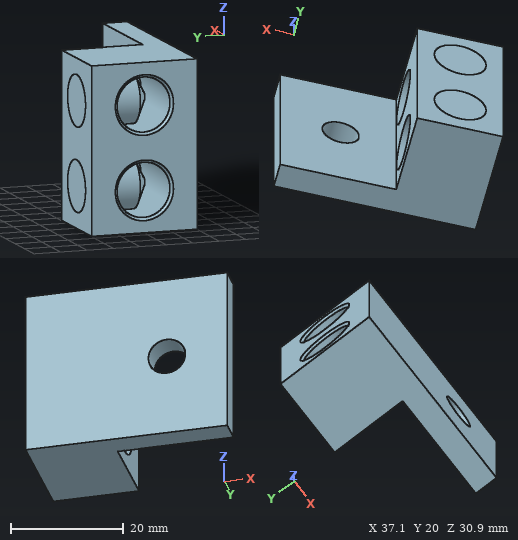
import cadquery as cq
import math

overall_length = 37.1
block_length = 15.8
depth = 20.0
height = 30.95
plate_thickness = 4.7

mount_hole_diameter = 6.75
mount_hole_x = 26.0

bore_count = 2
bore_diameter = 10.0
bore_chamfer = 0.5
bore_y = depth / 2
bore_pitch = height / bore_count
bore_heights = [(i + 0.5) * bore_pitch for i in range(bore_count)]

screw_diameter = 9.5
screw_x = block_length / 2
screw_shoulder_y = 9.65
screw_tip_y = 7.4
screw_tip_angle = 120.0

screw_radius = screw_diameter / 2
cone_slope = math.tan(math.radians(screw_tip_angle / 2))
tip_radius = screw_radius - (screw_shoulder_y - screw_tip_y) * cone_slope


def make_screw(z):
    """Cone-pointed screw along Y, flush with the back face of the block."""
    half_profile = (
        cq.Workplane("XY")
        .moveTo(0, screw_tip_y)
        .lineTo(tip_radius, screw_tip_y)
        .lineTo(screw_radius, screw_shoulder_y)
        .lineTo(screw_radius, depth)
        .lineTo(0, depth)
        .close()
    )
    screw = half_profile.revolve(360, (0, 0, 0), (0, 1, 0))
    return screw.translate((screw_x, 0, z))


def make_bore(z):
    """Through bore along X with a chamfered mouth on the end face."""
    mouth_radius = bore_diameter / 2 + bore_chamfer
    bore = cq.Workplane("YZ").center(bore_y, z).circle(bore_diameter / 2).extrude(block_length)
    mouth = cq.Solid.makeCone(
        mouth_radius, bore_diameter / 2, bore_chamfer, cq.Vector(0, bore_y, z), cq.Vector(1, 0, 0)
    )
    return bore.union(cq.Workplane(mouth))


def make_screw_hole(z):
    """Hole along Y that fits a screw, from the bore axis to the back face."""
    hole = cq.Workplane("XZ").center(screw_x, z).circle(screw_radius).extrude(-(depth - bore_y))
    return hole.translate((0, bore_y, 0))


def make_housing():
    """L-shaped body with the mounting hole, cable bores and screw holes."""
    housing = (
        cq.Workplane("XY")
        .moveTo(0, 0)
        .lineTo(overall_length, 0)
        .lineTo(overall_length, plate_thickness)
        .lineTo(block_length, plate_thickness)
        .lineTo(block_length, depth)
        .lineTo(0, depth)
        .close()
        .extrude(height)
    )
    mount_hole = (
        cq.Workplane("XZ")
        .center(mount_hole_x, height / 2)
        .circle(mount_hole_diameter / 2)
        .extrude(-plate_thickness)
    )
    housing = housing.cut(mount_hole)
    for z in bore_heights:
        housing = housing.cut(make_bore(z)).cut(make_screw_hole(z))
    return housing


housing = make_housing()
screws = [make_screw(z).val() for z in bore_heights]

result = cq.Compound.makeCompound([housing.val(), *screws])